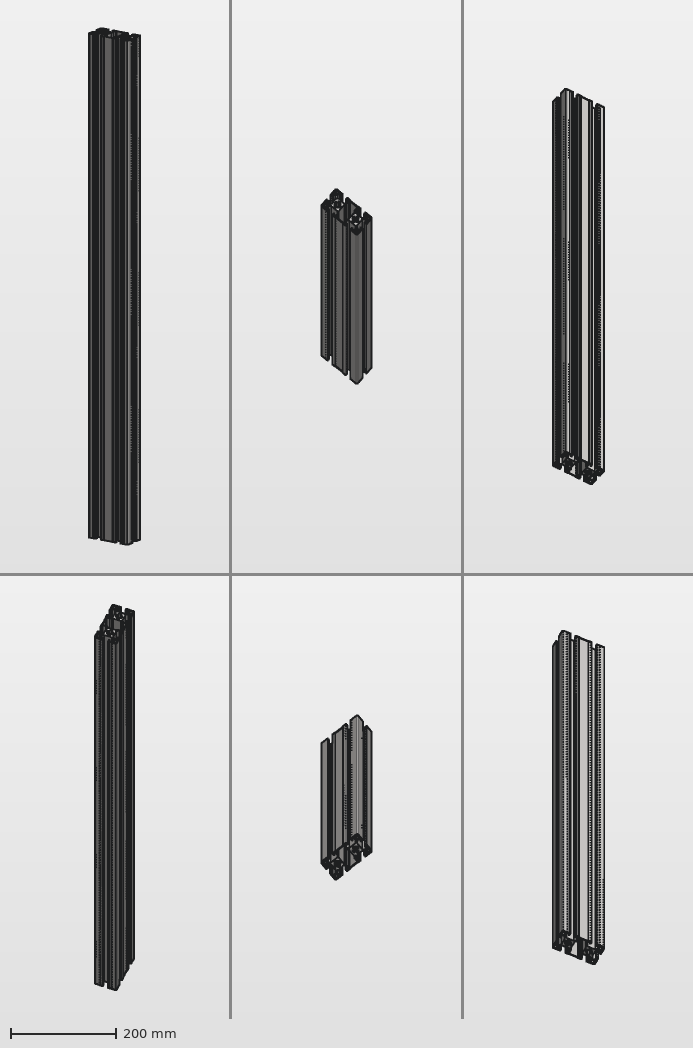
import cadquery as cq
import math

LENGTH = 1000.0
MODULE = 45.0
WIDTH = 2 * MODULE
HALF_MODULE = MODULE / 2
CORNER_RADIUS = 3.0

SLOT_OPENING = 10.8
SLOT_INNER_WIDTH = 23.0
SLOT_DEPTH = 12.5
LIP_THICKNESS = 2.2
HOOK_DEPTH = 4.9
HOOK_WIDTH = 2.0
SLOT_BEVEL = 3.9
INNER_LIP_RADIUS = 1.1

CORNER_HOLLOW = 6.6
CORNER_HOLLOW_WALL = 2.4

CENTRE_INSET = 2.1
CENTRE_NARROW_WIDTH = 20.2
CENTRE_WIDE_WIDTH = 24.8
CENTRE_WIDE_HEIGHT = 16.2

RECESS_WIDTH = 18.9
RECESS_DEPTH = 0.7

BORE_DIAMETER = 8.7
LOBE_DIAMETER = 12.8
LOBE_ANGLE = 50.0


def body():
    block = cq.Workplane("XY").rect(WIDTH, MODULE).extrude(LENGTH)
    return block.edges("|Z").fillet(CORNER_RADIUS)


def slot_cutter():
    """T-slot for the +Y face of a module centred on the origin."""
    mouth = SLOT_OPENING / 2
    hook = mouth + HOOK_WIDTH
    inner = SLOT_INNER_WIDTH / 2
    floor = HALF_MODULE - SLOT_DEPTH
    hook_tip = HALF_MODULE - HOOK_DEPTH
    lip_underside = HALF_MODULE - LIP_THICKNESS
    right = [
        (mouth, HALF_MODULE),
        (mouth, hook_tip),
        (hook, hook_tip),
        (hook, lip_underside),
        (inner, lip_underside),
        (inner, floor + SLOT_BEVEL),
        (inner - SLOT_BEVEL, floor),
    ]
    left = [(-x, y) for x, y in reversed(right)]
    return cq.Workplane("XY").polyline(right + left).close().extrude(LENGTH)


def cut_slots(part):
    """Slots on both broad faces and on the outer narrow face of each module."""
    cutter = slot_cutter()
    for side in (-1, 1):
        for angle in (0, 180, -90 * side):
            turned = cutter.rotate((0, 0, 0), (0, 0, 1), angle)
            part = part.cut(turned.translate((side * HALF_MODULE, 0, 0)))
    return part


def round_inner_lips(part):
    """Round the slot mouth edges that face the middle of the broad faces."""
    inner_edge = HALF_MODULE - SLOT_OPENING / 2
    for x in (-inner_edge, inner_edge):
        for y in (-HALF_MODULE, HALF_MODULE):
            edge = cq.selectors.NearestToPointSelector((x, y, LENGTH / 2))
            part = part.edges("|Z").edges(edge).fillet(INNER_LIP_RADIUS)
    return part


def corner_hollows():
    inset = CORNER_HOLLOW_WALL + CORNER_HOLLOW / 2
    spacing_x = WIDTH - 2 * inset
    spacing_y = MODULE - 2 * inset
    plane = cq.Workplane("XY").rarray(spacing_x, spacing_y, 2, 2)
    return plane.rect(CORNER_HOLLOW, CORNER_HOLLOW).extrude(LENGTH)


def centre_hollow():
    top = HALF_MODULE - CENTRE_INSET
    wide = CENTRE_WIDE_WIDTH / 2
    narrow = CENTRE_NARROW_WIDTH / 2
    shoulder = CENTRE_WIDE_HEIGHT / 2
    bend = shoulder + wide - narrow
    upper_right = [(wide, shoulder), (narrow, bend), (narrow, top)]
    upper = upper_right + [(-x, y) for x, y in reversed(upper_right)]
    lower = [(-x, -y) for x, y in upper]
    return cq.Workplane("XY").polyline(upper + lower).close().extrude(LENGTH)


def face_recesses():
    plane = cq.Workplane("XY").rarray(1, MODULE, 1, 2)
    return plane.rect(RECESS_WIDTH, 2 * RECESS_DEPTH).extrude(LENGTH)


def bore_lobe():
    """Sector of a circle about the origin, centred on the +X axis."""
    radius = LOBE_DIAMETER / 2
    half_angle = math.radians(LOBE_ANGLE / 2)
    x = radius * math.cos(half_angle)
    y = radius * math.sin(half_angle)
    outline = cq.Workplane("XY").lineTo(x, -y).threePointArc((radius, 0), (x, y)).close()
    return outline.extrude(LENGTH)


def lobed_bore():
    bore = cq.Workplane("XY").circle(BORE_DIAMETER / 2).extrude(LENGTH)
    lobe = bore_lobe()
    for angle in (0, 90, 180, 270):
        bore = bore.union(lobe.rotate((0, 0, 0), (0, 0, 1), angle))
    return bore


def cut_core_bores(part):
    bore = lobed_bore()
    for x in (-HALF_MODULE, HALF_MODULE):
        part = part.cut(bore.translate((x, 0, 0)))
    return part


result = round_inner_lips(cut_slots(body()))
result = result.cut(corner_hollows()).cut(centre_hollow()).cut(face_recesses())
result = cut_core_bores(result)